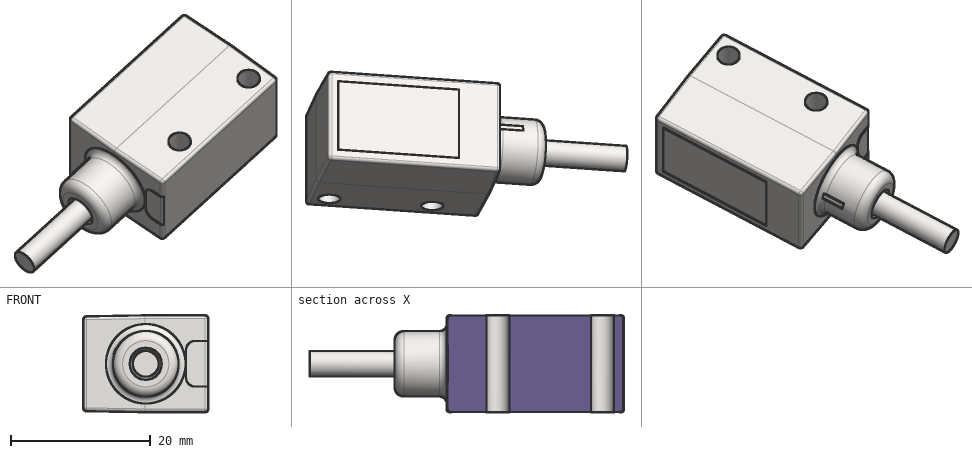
import cadquery as cq
import math


width = 17.9
length = 25.4
height = 13.9
parting_x = -0.1
draft_angle = 1.0
edge_radius = 0.5

hole_diameter = 3.2
hole_x = 5.9
hole_spacing = 15.0
first_hole_y = 7.35

recess_depth = 0.1
label_length = 17.6
label_height = 10.55
label_front_y = 6.2
tab_inner_x = 5.75
tab_height = 6.55
tab_corner_radius = 1.35

relief_diameter = 9.4
relief_length = 7.45
relief_root_radius = 1.0
relief_tip_radius = 1.4
relief_overlap = 0.9

key_rise = 0.1
key_end_y = -3.95
key_bottom_z = 1.4
key_top_z = 2.2

cable_diameter = 3.7
cable_free_length = 12.15
mouth_diameter = 4.6
mouth_depth = 2.7


def drafted_half(end_x, drafted_in_height):
    """Half of the block between the parting plane and one X end, tapering with the draft angle."""
    half_width = abs(end_x - parting_x)
    shrink = 2 * half_width * math.tan(math.radians(draft_angle))
    end_height = height - shrink if drafted_in_height else height
    return (
        cq.Workplane("YZ", origin=(parting_x, length / 2, 0))
        .rect(length, height)
        .workplane(offset=end_x - parting_x)
        .rect(length - shrink, end_height)
        .loft(ruled=True)
    )


def make_block():
    """Drafted block with every outer edge rounded; the parting edges stay sharp."""
    block = drafted_half(-width / 2, True).union(drafted_half(width / 2, False))
    parting_edges = cq.selectors.BoxSelector(
        (parting_x - edge_radius, -length, -height),
        (parting_x + edge_radius, 2 * length, height),
    )
    return block.edges(-parting_edges).fillet(edge_radius)


def make_mounting_holes():
    """Two through holes along Z."""
    centers = [(hole_x, first_hole_y), (hole_x, first_hole_y + hole_spacing)]
    return (
        cq.Workplane("XY", origin=(0, 0, -height))
        .pushPoints(centers)
        .circle(hole_diameter / 2)
        .extrude(2 * height)
    )


def make_label_recess():
    """Rectangular pocket for a label on the -X face."""
    return (
        cq.Workplane("XY", origin=(-width / 2, label_front_y, 0))
        .box(recess_depth, label_length, label_height, centered=(False, False, True))
    )


def make_tab_recess(block):
    """Round-cornered recess on the -Y face; its floor follows the face and its rounded +X edge."""
    outline = (
        cq.Workplane("XY")
        .box(width, 2 * edge_radius, tab_height, centered=(False, True, True))
        .edges("|Y and <X")
        .fillet(tab_corner_radius)
        .translate((tab_inner_x, 0, 0))
    )
    return outline.cut(block.translate((0, recess_depth, 0)))


def make_strain_relief():
    """Round boss with a flared root and a rounded tip, turned about the Y axis."""
    radius = relief_diameter / 2
    root_radius = radius + relief_root_radius
    tip_radius = radius - relief_tip_radius
    diagonal = math.sqrt(0.5)
    root_middle = (
        root_radius - relief_root_radius * diagonal,
        -relief_root_radius * (1 - diagonal),
    )
    tip_middle = (
        tip_radius + relief_tip_radius * diagonal,
        -relief_length + relief_tip_radius * (1 - diagonal),
    )
    return (
        cq.Workplane("XY")
        .moveTo(0, relief_overlap)
        .lineTo(root_radius, relief_overlap)
        .lineTo(root_radius, 0)
        .threePointArc(root_middle, (radius, -relief_root_radius))
        .lineTo(radius, -relief_length + relief_tip_radius)
        .threePointArc(tip_middle, (tip_radius, -relief_length))
        .lineTo(0, -relief_length)
        .close()
        .revolve(360, (0, 0, 0), (0, 1, 0))
    )


def make_key():
    """Narrow raised strip along the -X side of the strain relief, running into its flared root."""
    strip = (
        cq.Workplane("XZ")
        .circle(relief_diameter / 2 + key_rise)
        .circle(relief_diameter / 2 - key_rise)
        .extrude(-key_end_y)
    )
    side_band = (
        cq.Workplane("XY", origin=(-relief_diameter / 2, 0, key_bottom_z))
        .box(relief_diameter, 2 * relief_length, key_top_z - key_bottom_z, centered=(True, True, False))
    )
    return strip.intersect(side_band)


def make_cable_mouth():
    """Conical mouth narrowing from the tip of the strain relief down to the cable diameter."""
    return (
        cq.Workplane("XY")
        .moveTo(0, -relief_length)
        .lineTo(mouth_diameter / 2, -relief_length)
        .lineTo(cable_diameter / 2, -relief_length + mouth_depth)
        .lineTo(0, -relief_length + mouth_depth)
        .close()
        .revolve(360, (0, 0, 0), (0, 1, 0))
    )


def make_housing():
    block = make_block()
    return (
        block.union(make_strain_relief())
        .union(make_key())
        .cut(make_mounting_holes())
        .cut(make_label_recess())
        .cut(make_tab_recess(block))
        .cut(make_cable_mouth())
    )


def make_cable():
    """Round cable standing on the floor of the conical mouth."""
    return (
        cq.Workplane("XZ", origin=(0, mouth_depth - relief_length, 0))
        .circle(cable_diameter / 2)
        .extrude(mouth_depth + cable_free_length)
    )


housing = make_housing()
cable = make_cable()

result = cq.Compound.makeCompound([housing.solids().val(), cable.val()])